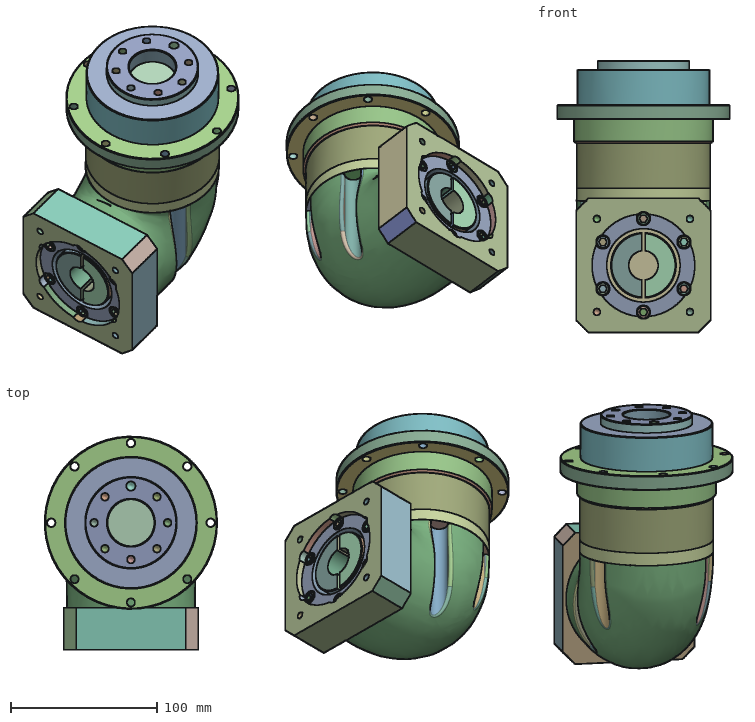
import cadquery as cq
import math


plate_side = 92.0
overall_height = 185.8
top_z = overall_height - plate_side / 2
boss_height = 6.1
pilot_height = 24.0
flange_thickness = 10.0
neck_height = 16.4
joint_z = 52.8
pilot_top_z = top_z - boss_height
flange_top_z = pilot_top_z - pilot_height
flange_bottom_z = flange_top_z - flange_thickness
neck_bottom_z = flange_bottom_z - neck_height

boss_radius = 31.4
pilot_radius = 45.1
flange_radius = 118.0 / 2
neck_radius = 47.5
barrel_radius = 45.7
edge_chamfer = 0.5
neck_chamfer = 1.5

output_bore_radius = 16.0
output_bore_depth = 11.5
output_hole_count = 8
output_hole_circle = 25.0
output_thread_radius = 2.6
dowel_radius = 3.2
output_hole_depth = 8.4
flange_hole_count = 8
flange_hole_circle = 54.5
flange_hole_radius = 2.8
drill_tip_angle = 118

tube_radius = 43.8
collar_bottom_z = 44.0
outer_bend_radius = 80.0
throat_radius = 1.0
section_count = 9
section_points = 16
hinge_y = -48.3
hinge_z = tube_radius + throat_radius
bend_center_y = outer_bend_radius - barrel_radius
bend_center_z = outer_bend_radius - tube_radius

flute_radius = 6.0
flute_circle = 42.2
flute_angles = [30, -30, 150, -150]
flute_rim_radius = 1.9
edge_tolerance = 0.2

plate_thickness = 29.0
plate_chamfer = 8.5
overall_depth = 145.9
front_y = flange_radius - overall_depth
plate_back_y = front_y + plate_thickness
pocket_radius = 35.1
pocket_depth = 5.0
pocket_floor_y = front_y + pocket_depth
mount_hole_offset = 31.8
mount_hole_radius = 2.32
mount_hole_depth = 14.9

hub_radius = 22.3
hub_gap_radius = 25.0
hub_bore_radius = 10.0
hub_slot_width = 2.2
hub_chamfer = 0.5

screw_count = 6
screw_circle = 32.0
counterbore_radius = 4.6
head_radius = 4.0
head_gap_depth = 1.0
socket_across_corners = 5.5
socket_depth = 2.8


def disc(radius, bottom_z, top_z):
    """Vertical cylinder on the output axis."""
    return cq.Workplane("XY", origin=(0, 0, bottom_z)).circle(radius).extrude(top_z - bottom_z)


def drill(center, direction, radius, depth):
    """Blind hole with a conical drill tip."""
    axis = cq.Vector(*direction)
    start = cq.Vector(*center)
    tip_height = radius / math.tan(math.radians(drill_tip_angle / 2))
    shaft = cq.Solid.makeCylinder(radius, depth, start, axis)
    tip = cq.Solid.makeCone(radius, 0, tip_height, start + axis * depth, axis)
    return cq.Workplane(shaft.fuse(tip))


def input_workplane(y):
    """Plane across the input axis: local x is X, local y is Z, extrusion goes toward -Y."""
    return cq.Workplane("XZ", origin=(0, y, 0))


def make_output_stage():
    barrel = disc(barrel_radius, joint_z, neck_bottom_z)
    neck = disc(neck_radius, neck_bottom_z, flange_bottom_z).faces("<Z").chamfer(neck_chamfer)
    flange = disc(flange_radius, flange_bottom_z, flange_top_z).edges().chamfer(edge_chamfer)
    pilot = disc(pilot_radius, flange_top_z, pilot_top_z).faces(">Z").chamfer(edge_chamfer)
    boss = disc(boss_radius, pilot_top_z, top_z).faces(">Z").chamfer(edge_chamfer)
    stage = barrel.union(neck).union(flange).union(pilot).union(boss)

    bore = disc(output_bore_radius, top_z - output_bore_depth, top_z)
    stage = stage.cut(bore)
    bore_rim = cq.selectors.RadiusNthSelector(0)
    stage = stage.faces(">Z").edges(bore_rim).chamfer(edge_chamfer)

    for i in range(output_hole_count):
        angle = math.radians(90 + i * 360 / output_hole_count)
        center = (output_hole_circle * math.cos(angle), output_hole_circle * math.sin(angle), top_z)
        radius = dowel_radius if i == 0 else output_thread_radius
        stage = stage.cut(drill(center, (0, 0, -1), radius, output_hole_depth))

    flange_holes = (
        cq.Workplane("XY", origin=(0, 0, flange_bottom_z))
        .polarArray(flange_hole_circle, 0, 360, flange_hole_count)
        .circle(flange_hole_radius)
        .extrude(flange_thickness)
    )
    return stage.cut(flange_holes)


def outer_reach(angle):
    """Distance from the hinge to the outside of the bend, along a ray tilted down from +Y."""
    dy = math.cos(angle)
    dz = -math.sin(angle)
    to_center_y = -bend_center_y - hinge_y
    to_center_z = bend_center_z - hinge_z
    along = to_center_y * dy + to_center_z * dz
    offset_squared = to_center_y**2 + to_center_z**2 - along**2
    reach = along + math.sqrt(outer_bend_radius**2 - offset_squared)
    if hinge_z + reach * dz > bend_center_z:
        reach = (barrel_radius - hinge_y) / dy
    if hinge_y + reach * dy < -bend_center_y:
        reach = (tube_radius + hinge_z) / -dz
    return reach


def inner_reach(angle):
    """Distance from the hinge to the inside of the bend, along the same ray."""
    barrel_gap = (-barrel_radius - hinge_y) / math.cos(angle)
    if barrel_gap * math.sin(angle) < throat_radius:
        return barrel_gap
    return throat_radius / math.sin(angle)


def bend_section(angle):
    """Oval section of the bend, in a plane turned about the hinge inside the elbow."""
    outer = outer_reach(angle)
    inner = inner_reach(angle)
    half_depth = (outer - inner) / 2
    turn = angle / math.radians(90)
    half_width = barrel_radius + (tube_radius - barrel_radius) * turn
    points = []
    for i in range(section_points):
        around = 2 * math.pi * i / section_points
        reach = inner + half_depth * (1 - math.cos(around))
        y = hinge_y + reach * math.cos(angle)
        z = hinge_z - reach * math.sin(angle)
        points.append(cq.Vector(half_width * math.sin(around), y, z))
    return cq.Wire.assembleEdges([cq.Edge.makeSpline(points, periodic=True)])


def make_bend():
    quarter = math.radians(90)
    sections = [bend_section(quarter * i / (section_count - 1)) for i in range(section_count)]
    tube_end = sections[-1].translate(cq.Vector(0, plate_back_y - hinge_y, 0))
    body = cq.Workplane(cq.Solid.makeLoft(sections + [tube_end]))
    above_collar = cq.Workplane("XY", origin=(0, 0, collar_bottom_z)).rect(371.6, 371.6).extrude(92.9)
    return body.cut(above_collar)


def flute_cutter(angle):
    """Upright slot, round toward the output axis and open to the outside."""
    length = 2 * barrel_radius
    slot = (
        cq.Workplane("XY", origin=(0, 0, -tube_radius))
        .center(flute_circle, 0)
        .circle(flute_radius)
        .extrude(2 * tube_radius)
    )
    mouth = (
        cq.Workplane("XY", origin=(flute_circle + length / 2, 0, -tube_radius))
        .rect(length, 2 * flute_radius)
        .extrude(2 * tube_radius)
    )
    return slot.union(mouth).rotate((0, 0, 0), (0, 0, 1), angle)


def make_fluted_bend():
    bend = make_bend()
    for angle in flute_angles:
        bend = bend.cut(flute_cutter(angle))
    rims = [edge for edge in bend.edges().vals() if is_flute_rim(edge)]
    return bend.newObject(rims).fillet(flute_rim_radius)


def is_flute_rim(edge):
    """True for the curved edges below the collar that lie off the middle plane of the bend."""
    center = edge.Center()
    below_collar = center.z < collar_bottom_z - edge_tolerance
    beside_middle = abs(center.x) > flute_radius
    return edge.geomType() == "BSPLINE" and below_collar and beside_middle


def make_plate():
    plate = (
        input_workplane(plate_back_y)
        .rect(plate_side, plate_side)
        .extrude(plate_thickness)
        .edges("|Y")
        .chamfer(plate_chamfer)
    )
    pocket = input_workplane(pocket_floor_y).circle(pocket_radius).extrude(pocket_depth)
    hub_opening = input_workplane(plate_back_y).circle(hub_gap_radius).extrude(plate_thickness)
    plate = plate.cut(pocket).cut(hub_opening)

    for x in (-mount_hole_offset, mount_hole_offset):
        for z in (-mount_hole_offset, mount_hole_offset):
            plate = plate.cut(drill((x, front_y, z), (0, 1, 0), mount_hole_radius, mount_hole_depth))

    for i in range(screw_count):
        angle = math.radians(90 + i * 360 / screw_count)
        plate = add_screw(plate, screw_circle * math.cos(angle), screw_circle * math.sin(angle))
    return plate


def add_screw(plate, x, z):
    """Counterbore through the pocket wall, with a socket screw head level with the pocket floor."""
    seat_y = pocket_floor_y + head_gap_depth
    counterbore = (
        input_workplane(seat_y).center(x, z).circle(counterbore_radius).extrude(seat_y - front_y)
    )
    head = input_workplane(seat_y).center(x, z).circle(head_radius).extrude(head_gap_depth)
    socket = (
        input_workplane(pocket_floor_y + socket_depth)
        .center(x, z)
        .polygon(6, socket_across_corners)
        .extrude(socket_depth)
    )
    return plate.cut(counterbore).union(head).cut(socket)


def make_clamp_hub():
    length = plate_back_y - pocket_floor_y
    hub = input_workplane(plate_back_y).circle(hub_radius).extrude(length)
    hub = hub.faces("<Y").chamfer(hub_chamfer)
    bore = input_workplane(plate_back_y).circle(hub_bore_radius).extrude(length)
    slot = input_workplane(plate_back_y).rect(hub_slot_width, 2 * hub_radius).extrude(length)
    return hub.cut(bore).cut(slot)


def make_input_stage():
    bend = make_fluted_bend()
    collar = disc(barrel_radius, collar_bottom_z, joint_z)
    return bend.union(collar).union(make_plate()).union(make_clamp_hub())


output_stage = make_output_stage()
input_stage = make_input_stage()

result = cq.Compound.makeCompound([output_stage.val(), input_stage.val()])